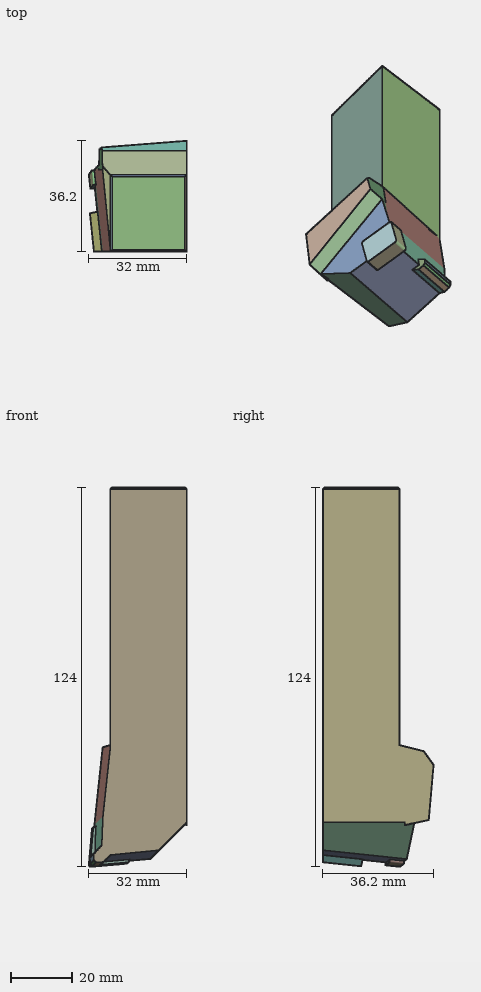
import cadquery as cq
import math

SHANK_WIDTH = 25.0
TOP_Z = 124.0
TOP_CHAMFER = 0.6
SHANK_FOOT_Z = 38.6

RELIEF = math.tan(math.radians(6))
SHEAR = cq.Vector(-RELIEF, 1, -RELIEF)
HEAD_SWEEP = 37.2
FLANK_BEND = (-2.4, 16.5)
FLANK_END = (-2.7, 7.1)
FLANK_FOOT_SLOPE = (FLANK_END[0] - FLANK_BEND[0]) / (FLANK_END[1] - FLANK_BEND[1])
NOSE_Z = 3.6
NOSE_CORNER = (FLANK_END[0] + FLANK_FOOT_SLOPE * (NOSE_Z - FLANK_END[1]), NOSE_Z)
BOTTOM_END = (16.0, 5.5)
BACK_CHAMFER_Z = BOTTOM_END[1] + SHANK_WIDTH - BOTTOM_END[0]
FLANK_SLOPE = -FLANK_BEND[0] / (SHANK_FOOT_Z - FLANK_BEND[1])

TOE_OUTLINE = [
    FLANK_END, (-5.3, 4.3), (-5.3, 2.2), (-4.6, 1.5), (-2.4, 1.5),
    (0.1, 3.8), (0.1, FLANK_END[1]),
]
TOE_END_Y = 12.9

RAKE_Y = 25.8

HUMP_TOP_X = -2.5
HUMP_TOP_Z = 39.1
HUMP_START_Y = 26.8
HUMP_CREST_Y = 33.0
HUMP_CREST_Z = 37.8
HUMP_TOP_FALL = 0.25
CREST_CHAMFER_FALL = 1.4
HUMP_BACK_Y = 36.2
HUMP_BACK_SLOPE = math.tan(math.radians(5))
WALL_Z = 28.0
WALL_X = -3.7
WALL_Y = 28.4
WALL_X_FALL = 0.49
WALL_Y_RISE = 0.22

SHOULDER_Z = 39.8
SHOULDER_X_RISE = 0.29

INSERT_SIDE = 12.9
INSERT_THICKNESS = 4.7
INSERT_ANGLE = math.radians(5)
INSERT_NOSE_RADIUS = 0.7
INSERT_TIP_X = -7.1
INSERT_TIP_Z = -0.07

REACH = 74.4


def rake_point(x, z, crossing_y):
    """Point at (x, z) on the plane square to the sweep that crosses the Y axis at crossing_y."""
    return cq.Vector(x, crossing_y + RELIEF * (x + z), z)


def swept(points, direction):
    """Planar outline through 3D points, extruded along a direction."""
    outline = cq.Wire.makePolygon(points, close=True)
    return cq.Workplane(cq.Solid.extrudeLinear(outline, [], direction))


def half_space(point, normal):
    """Large block on the side of a plane that its normal points to."""
    plane = cq.Plane(origin=point, normal=normal)
    return cq.Workplane(plane).rect(2 * REACH, 2 * REACH).extrude(2 * REACH)


def swept_profile(points_xz):
    """XZ outline on the front face, swept back with relief."""
    return swept([cq.Vector(x, 0, z) for x, z in points_xz], SHEAR * HEAD_SWEEP)


def behind_rake(crossing_y):
    return half_space(rake_point(0, 0, crossing_y), SHEAR)


def make_shank():
    height = TOP_Z - SHANK_FOOT_Z
    shank = cq.Workplane(origin=(0, 0, SHANK_FOOT_Z)).box(
        SHANK_WIDTH, SHANK_WIDTH, height, centered=False
    )
    return shank.faces(">Z").chamfer(TOP_CHAMFER)


def left_of_hump():
    """Everything to the left of the hump's left face."""
    return half_space((HUMP_TOP_X, 0, HUMP_TOP_Z), (-1, 0, FLANK_SLOPE))


def above_shoulder():
    return half_space((0, 0, SHOULDER_Z), (-SHOULDER_X_RISE, 0, 1))


def above_hump_top():
    return half_space((0, HUMP_CREST_Y, HUMP_CREST_Z), (0, HUMP_TOP_FALL, 1))


def make_head():
    high_z = SHANK_FOOT_Z + HEAD_SWEEP / 2
    high_x = FLANK_SLOPE * (high_z - SHANK_FOOT_Z)
    wide = HEAD_SWEEP / 2
    outline = [
        (high_x, high_z), FLANK_BEND, NOSE_CORNER, BOTTOM_END,
        (SHANK_WIDTH + wide, BACK_CHAMFER_Z + wide), (SHANK_WIDTH + wide, high_z),
    ]
    return (
        swept_profile(outline)
        .cut(behind_rake(RAKE_Y))
        .cut(left_of_hump())
        .cut(above_shoulder())
        .cut(above_hump_top())
    )


def make_toe():
    return swept_profile(TOE_OUTLINE).cut(behind_rake(TOE_END_Y))


def make_hump():
    front_z = HUMP_CREST_Z + HUMP_TOP_FALL * (HUMP_CREST_Y - HUMP_START_Y)
    back_z = HUMP_CREST_Z - CREST_CHAMFER_FALL * (HUMP_BACK_Y - HUMP_CREST_Y)
    block = (
        cq.Workplane("YZ", origin=(-SHANK_WIDTH, 0, 0))
        .polyline([
            (HUMP_START_Y, 0), (HUMP_START_Y, front_z), (HUMP_CREST_Y, HUMP_CREST_Z),
            (HUMP_BACK_Y, back_z), (HUMP_BACK_Y, 0),
        ])
        .close()
        .extrude(2 * SHANK_WIDTH)
    )
    back_corner = (SHANK_WIDTH, HUMP_BACK_Y, back_z)
    return (
        block
        .cut(left_of_hump())
        .cut(half_space(back_corner, (-HUMP_BACK_SLOPE, 1, -HUMP_BACK_SLOPE)))
        .cut(half_space((WALL_X, WALL_Y, WALL_Z), (-WALL_X_FALL, WALL_Y_RISE, -1)))
        .cut(above_shoulder())
    )


def make_insert():
    long_leg = INSERT_SIDE * math.cos(INSERT_ANGLE)
    short_leg = INSERT_SIDE * math.sin(INSERT_ANGLE)
    offsets = [
        (0, 0), (long_leg, short_leg),
        (long_leg + short_leg, long_leg + short_leg), (short_leg, long_leg),
    ]
    corners = [rake_point(INSERT_TIP_X + dx, INSERT_TIP_Z + dz, RAKE_Y) for dx, dz in offsets]
    body = swept(corners, SHEAR.normalized() * -INSERT_THICKNESS)
    return body.edges(cq.selectors.ParallelDirSelector(SHEAR)).fillet(INSERT_NOSE_RADIUS)


def make_holder(insert):
    right_side = half_space((SHANK_WIDTH, 0, 0), (1, 0, 0))
    holder = make_head().union(make_toe()).union(make_hump()).cut(right_side)
    return holder.union(make_shank()).cut(insert).solids()


insert = make_insert()
holder = make_holder(insert)
result = cq.Compound.makeCompound([holder.val(), insert.val()])